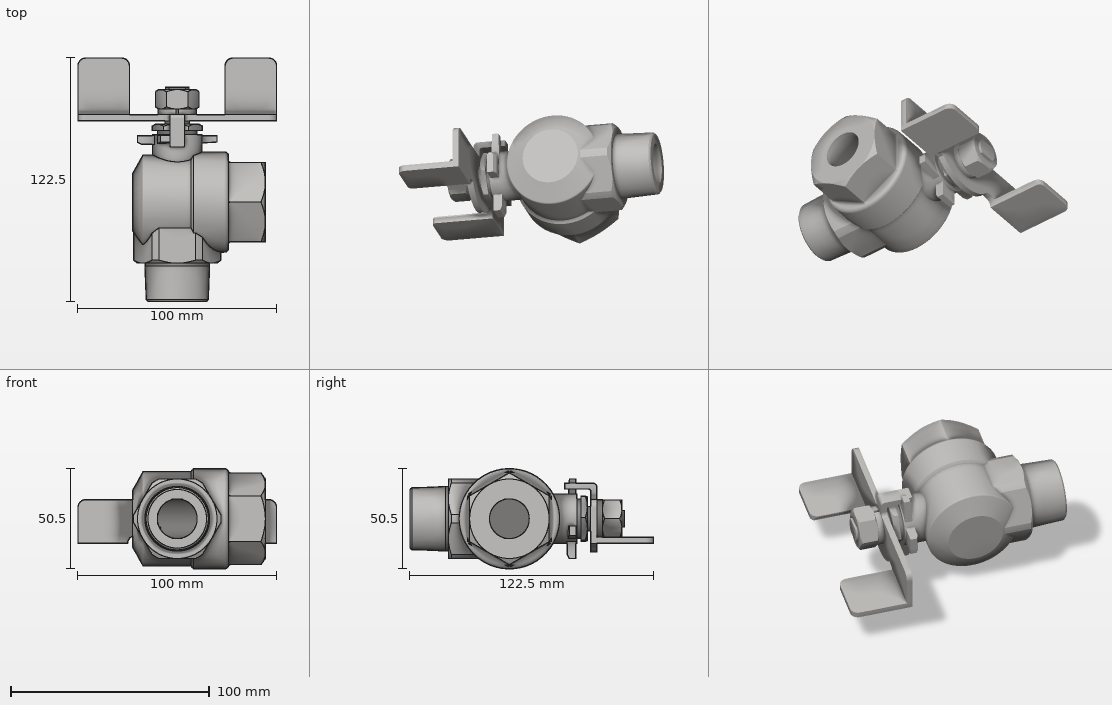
import cadquery as cq
import math


BODY_LEFT_X = -22.5
BODY_FACE_RADIUS = 14.25
BODY_RADIUS = 23.8
BODY_SHOULDER_X = -17.2
BODY_SHOULDER_FILLET = 1.0
COLLAR_RADIUS = 50.5 / 2
COLLAR_STEP_X = 6.9
COLLAR_START_X = 8.15
COLLAR_END_X = 25.75
COLLAR_FILLET = 2.0

PORT_HEX_FLATS = 40.0
BORE_RADIUS = 20.0 / 2
FEMALE_END_X = 44.3
FEMALE_CHAMFER_LENGTH = 2.2
FEMALE_ROOT_FILLET = 1.15
MALE_HEX_END_Y = -30.7
MALE_HEX_CORNER_RADIUS = 22.0
MALE_CHAMFER_LENGTH = 1.5
THREAD_RADIUS = 32.63 / 2
THREAD_RELIEF_RADIUS = 32.5 / 2
THREAD_START_Y = -32.2
THREAD_END_Y = -50.0
THREAD_TIP_RADIUS = 15.65
THREAD_CHAMFER = 0.9

NECK_RADIUS = 25.0 / 2
NECK_END_Y = 34.0
SPIGOT_RADIUS = 20.0 / 2
GLAND_START_Y = 36.0
GLAND_END_Y = 39.2
GLAND_FLATS = 22.0
GLAND_TURN = 3.0
GLAND_CHAMFER_LENGTH = 1.0
STEM_RADIUS = 12.5 / 2
STEM_END_RADIUS = 12.0 / 2
STEM_END_Y = 57.8
STEM_FLATS = 8.5
SHEET = 3.1
HANDLE_BACK_Y = 44.0
HANDLE_FRONT_Y = HANDLE_BACK_Y - SHEET
WASHER_RADIUS = 9.7
WASHER_END_Y = 46.8
WASHER_GAP = 1.4
NUT_FLATS = 19.0
NUT_END_Y = 56.6
NUT_CHAMFER_LENGTH = 1.1

HANDLE_HALF_LENGTH = 50.0
HANDLE_TOP_Z = 9.65
HANDLE_BOTTOM_Z = -12.35
HANDLE_CORNER_RADIUS = 4.0
WING_INNER_X = 24.0
WING_END_Y = 72.5
NOTCH_OUTER_X = 24.9
NOTCH_RADIUS = 3.75
LOBE_BOTTOM_Z = -16.8
LOBE_RADIUS = 24.6
POINTER_HALF_WIDTH = 3.75
POINTER_TOP_Z = 17.95
POINTER_END_Y = 27.75
POINTER_ROOT_FILLET = 2.0
POINTER_TIP_FILLET = 0.8
BEND_OUTER_RADIUS = 2.0
BEND_INNER_RADIUS = 1.0

STOP_REACH = 20.0
STOP_HALF_WIDTH = 4.9
STOP_FRONT_Y = 29.0
STOP_BACK_Y = 33.4
STOP_CHAMFER_DEPTH = 1.1
STOP_CHAMFER_LENGTH = 2.2
LIMIT_OUTER_X = -8.4
LIMIT_TIP_THICKNESS = 3.25
LIMIT_FRONT_DRAFT = 3.5
LIMIT_SIDE_DRAFT = 7.0

SELECTION_MARGIN = 0.1


def corner_radius(flats):
    """Centre-to-corner distance of a hexagon with the given width across flats."""
    return flats / math.sqrt(3)


def hexagon(flats, first_corner):
    """Hexagon corners, the first one at the given angle in degrees."""
    radius = corner_radius(flats)
    angles = [math.radians(first_corner + 60 * i) for i in range(6)]
    return [(radius * math.cos(a), radius * math.sin(a)) for a in angles]


def turn_about_x(profile):
    """Revolve (x, radius) points about the X axis."""
    return cq.Workplane("XY").polyline(profile).close().revolve(360, (0, 0), (1, 0))


def turn_about_y(profile):
    """Revolve (radius, y) points about the Y axis."""
    return cq.Workplane("XY").polyline(profile).close().revolve(360, (0, 0), (0, 1))


def rod_y(radius, start, end):
    return turn_about_y([(0, start), (radius, start), (radius, end), (0, end)])


def along_y(start, end, outline):
    """Extrude a closed list of (x, z) points from y = start to y = end."""
    plane = cq.Workplane("XZ", origin=(0, end, 0))
    return plane.polyline(outline).close().extrude(end - start)


def block(x, y, z):
    size = [span[1] - span[0] for span in (x, y, z)]
    return cq.Workplane("XY").box(*size, centered=False).translate((x[0], y[0], z[0]))


def edges_within(x, y, z):
    """Selector for edges lying wholly inside the given spans."""
    low = [span[0] - SELECTION_MARGIN for span in (x, y, z)]
    high = [span[1] + SELECTION_MARGIN for span in (x, y, z)]
    return cq.selectors.BoxSelector(low, high, boundingbox=True)


def hex_nut(flats, turn, start, end, start_chamfer, end_chamfer):
    """Hexagonal nut along Y with its corners turned down at the ends."""
    corner = corner_radius(flats)
    prism = along_y(start, end, hexagon(flats, turn))
    blank = turn_about_y([
        (0, start),
        (flats / 2, start),
        (corner, start + start_chamfer),
        (corner, end - end_chamfer),
        (flats / 2, end),
        (0, end),
    ])
    return prism.intersect(blank)


def body():
    turned = turn_about_x([
        (BODY_LEFT_X, 0),
        (BODY_LEFT_X, BODY_FACE_RADIUS),
        (BODY_SHOULDER_X, BODY_RADIUS),
        (COLLAR_STEP_X, BODY_RADIUS),
        (COLLAR_START_X, COLLAR_RADIUS),
        (COLLAR_END_X, COLLAR_RADIUS),
        (COLLAR_END_X, 0),
    ])
    shoulder = edges_within(
        (BODY_SHOULDER_X, BODY_SHOULDER_X), (-BODY_RADIUS, BODY_RADIUS), (-BODY_RADIUS, BODY_RADIUS))
    turned = turned.edges(shoulder).fillet(BODY_SHOULDER_FILLET)
    return turned.faces(">X").edges().fillet(COLLAR_FILLET)


def female_end():
    corner = corner_radius(PORT_HEX_FLATS)
    prism = cq.Workplane("YZ").polyline(hexagon(PORT_HEX_FLATS, 30)).close().extrude(FEMALE_END_X)
    blank = turn_about_x([
        (0, 0),
        (0, corner),
        (FEMALE_END_X - FEMALE_CHAMFER_LENGTH, corner),
        (FEMALE_END_X, PORT_HEX_FLATS / 2),
        (FEMALE_END_X, 0),
    ])
    return prism.intersect(blank)


def female_root():
    """Concave fillets between the body face and the six flats of the female port."""
    flat = PORT_HEX_FLATS / 2
    width = corner_radius(PORT_HEX_FLATS)
    strip = (
        cq.Workplane("XY", origin=(0, 0, -width / 2))
        .moveTo(COLLAR_END_X, 0)
        .lineTo(COLLAR_END_X, flat + FEMALE_ROOT_FILLET)
        .radiusArc((COLLAR_END_X + FEMALE_ROOT_FILLET, flat), -FEMALE_ROOT_FILLET)
        .lineTo(COLLAR_END_X + FEMALE_ROOT_FILLET, 0)
        .close()
        .extrude(width)
    )
    root = strip
    for i in range(1, 6):
        root = root.union(strip.rotate((0, 0, 0), (1, 0, 0), 60 * i))
    return root


def male_end():
    prism = along_y(MALE_HEX_END_Y, 0, hexagon(PORT_HEX_FLATS, 0))
    blank = turn_about_y([
        (0, 0),
        (MALE_HEX_CORNER_RADIUS, 0),
        (MALE_HEX_CORNER_RADIUS, MALE_HEX_END_Y + MALE_CHAMFER_LENGTH),
        (PORT_HEX_FLATS / 2, MALE_HEX_END_Y),
        (0, MALE_HEX_END_Y),
    ])
    thread = turn_about_y([
        (0, 0),
        (THREAD_RELIEF_RADIUS, 0),
        (THREAD_RELIEF_RADIUS, THREAD_START_Y),
        (THREAD_RADIUS, THREAD_START_Y),
        (THREAD_TIP_RADIUS, THREAD_END_Y + THREAD_CHAMFER),
        (THREAD_TIP_RADIUS - THREAD_CHAMFER, THREAD_END_Y),
        (0, THREAD_END_Y),
    ])
    return prism.intersect(blank).union(thread)


def gland():
    return hex_nut(GLAND_FLATS, GLAND_TURN, GLAND_START_Y, GLAND_END_Y, 0, GLAND_CHAMFER_LENGTH)


def nut():
    return hex_nut(NUT_FLATS, 0, WASHER_END_Y, NUT_END_Y, NUT_CHAMFER_LENGTH, NUT_CHAMFER_LENGTH)


def spring_washer():
    ring = rod_y(WASHER_RADIUS, HANDLE_BACK_Y, WASHER_END_Y)
    gap = block((-WASHER_GAP / 2, WASHER_GAP / 2), (HANDLE_BACK_Y, WASHER_END_Y),
                (STEM_END_RADIUS, WASHER_RADIUS))
    return ring.cut(gap)


def stem():
    lower = rod_y(STEM_RADIUS, GLAND_END_Y, HANDLE_FRONT_Y)
    upper = rod_y(STEM_END_RADIUS, HANDLE_FRONT_Y, STEM_END_Y)
    flats = block((-STEM_END_RADIUS, STEM_END_RADIUS), (HANDLE_FRONT_Y, STEM_END_Y),
                  (-STEM_FLATS / 2, STEM_FLATS / 2))
    return lower.union(upper.intersect(flats))


def handle_bar():
    bar = block((-HANDLE_HALF_LENGTH, HANDLE_HALF_LENGTH), (HANDLE_FRONT_Y, HANDLE_BACK_Y),
                (HANDLE_BOTTOM_Z, HANDLE_TOP_Z))
    return bar.edges("|Y and >Z").fillet(HANDLE_CORNER_RADIUS)


def handle_notch():
    """Round-cornered relief under the bar that also trims the inner edges of the wings."""
    notch = block((-NOTCH_OUTER_X, NOTCH_OUTER_X), (HANDLE_FRONT_Y, WING_END_Y),
                  (LOBE_BOTTOM_Z, HANDLE_BOTTOM_Z + NOTCH_RADIUS))
    return notch.edges("|Y and >Z").fillet(NOTCH_RADIUS)


def handle_lobe():
    """Rounded belly of the handle below the stem."""
    disc = rod_y(LOBE_RADIUS, HANDLE_FRONT_Y, HANDLE_BACK_Y)
    disc = disc.translate((0, 0, LOBE_BOTTOM_Z + LOBE_RADIUS))
    below = block((-LOBE_RADIUS, LOBE_RADIUS), (HANDLE_FRONT_Y, HANDLE_BACK_Y), (LOBE_BOTTOM_Z, 0))
    return disc.intersect(below)


def wing(side):
    x_span = sorted((side * WING_INNER_X, side * HANDLE_HALF_LENGTH))
    tab = block(x_span, (HANDLE_FRONT_Y, WING_END_Y), (HANDLE_BOTTOM_Z, HANDLE_BOTTOM_Z + SHEET))
    return tab.edges("|Z and >Y").fillet(HANDLE_CORNER_RADIUS)


def pointer():
    x_span = (-POINTER_HALF_WIDTH, POINTER_HALF_WIDTH)
    outer = block(x_span, (POINTER_END_Y, HANDLE_BACK_Y), (0, POINTER_TOP_Z))
    outer = outer.edges("|X and >Y and >Z").fillet(BEND_OUTER_RADIUS)
    inner = block(x_span, (POINTER_END_Y, HANDLE_FRONT_Y), (0, POINTER_TOP_Z - SHEET))
    inner = inner.edges("|X and >Y and >Z").fillet(BEND_INNER_RADIUS)
    return outer.cut(inner).edges("|Z and <Y").fillet(POINTER_TIP_FILLET)


def handle():
    part = handle_bar().union(wing(-1)).union(wing(1)).cut(handle_notch())
    part = part.union(handle_lobe()).union(pointer())
    root = edges_within((-POINTER_HALF_WIDTH, POINTER_HALF_WIDTH), (HANDLE_FRONT_Y, HANDLE_BACK_Y),
                        (HANDLE_TOP_Z, HANDLE_TOP_Z))
    return part.edges(root).edges("|Y").fillet(POINTER_ROOT_FILLET)


def guide_tab():
    """Tab reaching out along -Z with a chamfered tip."""
    side = [
        (STOP_BACK_Y, 0),
        (STOP_BACK_Y, -STOP_REACH),
        (STOP_FRONT_Y + STOP_CHAMFER_DEPTH, -STOP_REACH),
        (STOP_FRONT_Y, -STOP_REACH + STOP_CHAMFER_LENGTH),
        (STOP_FRONT_Y, 0),
    ]
    plane = cq.Workplane("YZ", origin=(-STOP_HALF_WIDTH, 0, 0))
    return plane.polyline(side).close().extrude(2 * STOP_HALF_WIDTH)


def limit_tab():
    """Drafted tab reaching out along +Z, bearing on the side of the pointer."""
    tip_front = STOP_BACK_Y - LIMIT_TIP_THICKNESS
    base_front = tip_front - STOP_REACH * math.tan(math.radians(LIMIT_FRONT_DRAFT))
    base_outer = LIMIT_OUTER_X - STOP_REACH * math.tan(math.radians(LIMIT_SIDE_DRAFT))
    across = along_y(base_front, STOP_BACK_Y, [
        (-POINTER_HALF_WIDTH, 0),
        (-POINTER_HALF_WIDTH, STOP_REACH),
        (LIMIT_OUTER_X, STOP_REACH),
        (base_outer, 0),
    ])
    side = [
        (STOP_BACK_Y, 0),
        (STOP_BACK_Y, STOP_REACH),
        (tip_front, STOP_REACH),
        (base_front, 0),
    ]
    depth = cq.Workplane("YZ").polyline(side).close().extrude(base_outer)
    return across.intersect(depth)


def stops():
    guide = guide_tab()
    limit = limit_tab()
    far_limit = limit.mirror("YZ").rotate((0, 0, 0), (0, 1, 0), 90)
    return guide.union(guide.rotate((0, 0, 0), (0, 1, 0), 90)).union(limit).union(far_limit)


def bore():
    """Elbow passage joining the female port to the male port."""
    across = cq.Workplane("YZ", origin=(-BORE_RADIUS, 0, 0)).circle(BORE_RADIUS)
    across = across.extrude(FEMALE_END_X + BORE_RADIUS)
    return across.union(rod_y(BORE_RADIUS, THREAD_END_Y, 0))


valve = body().union(female_end()).union(female_root())
valve = valve.union(male_end())
valve = valve.union(rod_y(NECK_RADIUS, 0, NECK_END_Y))
valve = valve.union(rod_y(SPIGOT_RADIUS, NECK_END_Y, GLAND_START_Y))
for piece in (gland(), stem(), stops(), handle(), spring_washer(), nut()):
    valve = valve.union(piece)
result = valve.cut(bore())